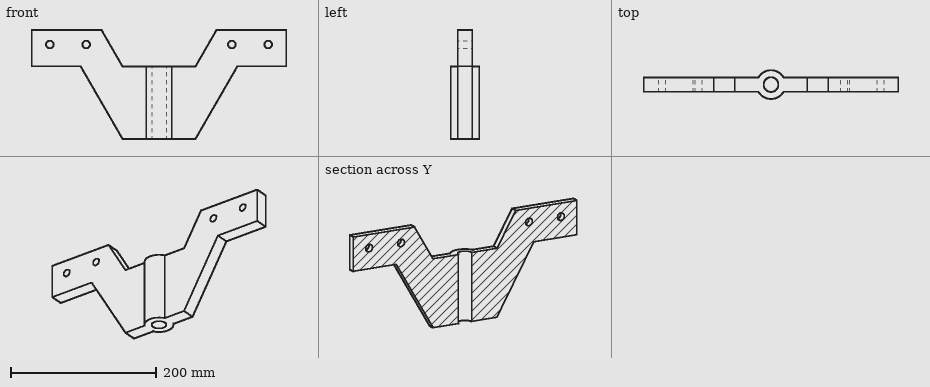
import cadquery as cq
import math

span = 350.0
height = 150.0
thickness = 20.0
arm_height = height / 3
shelf_height = height - arm_height
web_width = 100.0
slope_angle = 60.0

hub_diameter = 40.0
bore_diameter = 20.0

mount_hole_diameter = 10.0
mount_hole_drop = 20.0
mount_hole_offsets = (100.0, 150.0)


def slope_run(rise):
    """Horizontal run of an inclined edge that climbs by the given rise."""
    return rise / math.tan(math.radians(slope_angle))


def make_plate():
    """Bracket plate, symmetric about the hub axis and centred on Y = 0."""
    half_web = web_width / 2
    half_span = span / 2
    right_edge = [
        (half_web, 0),
        (half_web + slope_run(shelf_height), shelf_height),
        (half_span, shelf_height),
        (half_span, height),
        (half_web + slope_run(arm_height), height),
        (half_web, shelf_height),
    ]
    left_edge = [(-x, z) for x, z in reversed(right_edge)]
    outline = cq.Workplane("XZ").polyline(right_edge + left_edge).close()
    return outline.extrude(thickness / 2, both=True)


def make_hub():
    return cq.Workplane("XY").circle(hub_diameter / 2).extrude(shelf_height)


def make_bore():
    return cq.Workplane("XY").circle(bore_diameter / 2).extrude(shelf_height)


def make_mount_holes():
    """Cutters passing through the arms along Y, two on each side."""
    hole_height = height - mount_hole_drop
    centres = [(side * x, hole_height) for side in (-1, 1) for x in mount_hole_offsets]
    holes = cq.Workplane("XZ").pushPoints(centres).circle(mount_hole_diameter / 2)
    return holes.extrude(thickness, both=True)


result = make_plate().union(make_hub()).cut(make_bore()).cut(make_mount_holes())